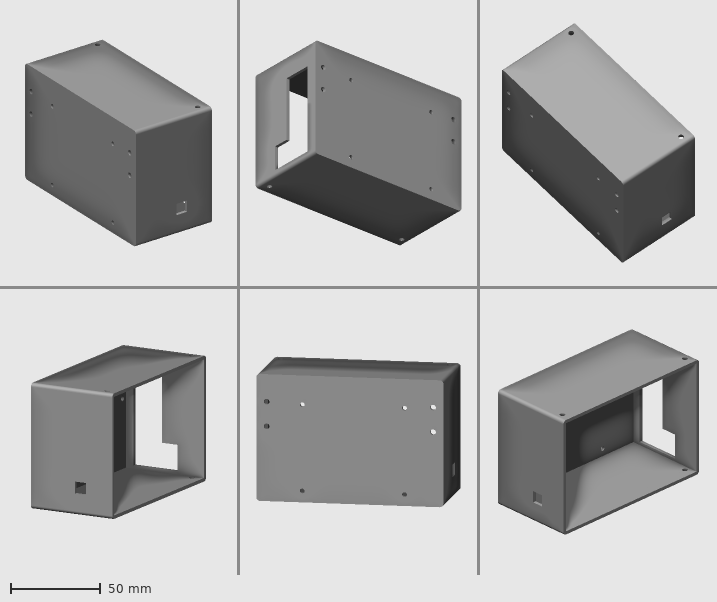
import cadquery as cq

length = 106.0
depth = 52.0
height = 72.0
wall = 2.0
edge_radius = 2.0

front = -depth / 2
back = depth / 2

window_front = front + 7.0
window_slot_back = front + 25.0
window_foot_back = front + 35.0
window_bottom = 3.9
window_foot_top = 19.0
window_top = 58.0

port_side = 7.0

board_hole_diameter = 2.6
board_pitch_x = 58.0
board_pitch_z = 49.0
board_center_x = 2.0
board_center_z = 31.0

mount_hole_diameter = 3.2
mount_end_distance = 5.8
mount_pitch_z = 14.0
mount_center_z = 49.4

cover_hole_diameter = 3.2
cover_end_distance = 5.1
cover_back_distance = 6.0


def make_shell():
    """Box with rounded depthwise edges, hollowed out from the back."""
    body = cq.Workplane("XY").box(length, depth, height, centered=(True, True, False))
    body = body.edges("|Y").fillet(edge_radius)
    cavity = (
        cq.Workplane("XY")
        .box(length - 2 * wall, depth, height - 2 * wall, centered=(True, True, False))
        .translate((0, wall, wall))
    )
    return body.cut(cavity)


def end_wall_cutter(outline, wall_start):
    """Prism through one end wall from a list of (y, z) corners."""
    return cq.Workplane("YZ", origin=(wall_start, 0, 0)).polyline(outline).close().extrude(wall)


def make_window():
    outline = [
        (window_front, window_bottom),
        (window_foot_back, window_bottom),
        (window_foot_back, window_foot_top),
        (window_slot_back, window_foot_top),
        (window_slot_back, window_top),
        (window_front, window_top),
    ]
    return end_wall_cutter(outline, -length / 2)


def make_port():
    port_front = window_foot_back - port_side
    port_bottom = window_foot_top - port_side
    outline = [
        (port_front, port_bottom),
        (window_foot_back, port_bottom),
        (window_foot_back, window_foot_top),
        (port_front, window_foot_top),
    ]
    return end_wall_cutter(outline, length / 2 - wall)


def front_wall_holes(diameter, center_x, center_z, pitch_x, pitch_z):
    """Rectangle of four holes through the front wall."""
    return (
        cq.Workplane("XZ", origin=(center_x, front + wall, center_z))
        .rect(pitch_x, pitch_z, forConstruction=True)
        .vertices()
        .circle(diameter / 2)
        .extrude(wall)
    )


def make_cover_holes():
    hole_x = length / 2 - cover_end_distance
    hole_y = back - cover_back_distance
    return (
        cq.Workplane("XY")
        .pushPoints([(-hole_x, hole_y), (hole_x, hole_y)])
        .circle(cover_hole_diameter / 2)
        .extrude(height)
    )


board_holes = front_wall_holes(
    board_hole_diameter, board_center_x, board_center_z, board_pitch_x, board_pitch_z
)
mount_pitch_x = length - 2 * mount_end_distance
mount_holes = front_wall_holes(mount_hole_diameter, 0, mount_center_z, mount_pitch_x, mount_pitch_z)

result = (
    make_shell()
    .cut(make_window())
    .cut(make_port())
    .cut(board_holes)
    .cut(mount_holes)
    .cut(make_cover_holes())
)